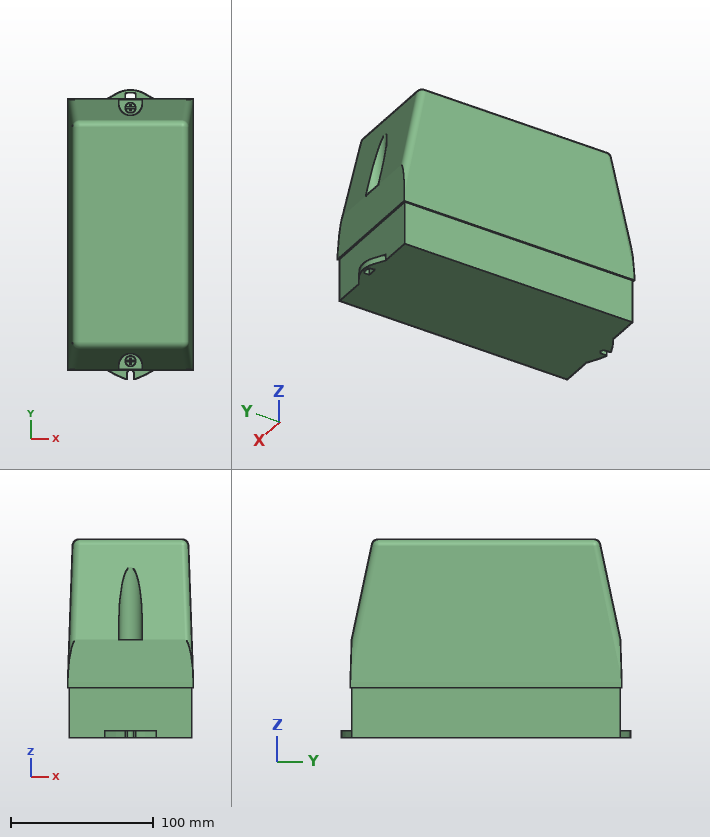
import cadquery as cq
import math

BASE_WIDTH = 86.0
BASE_LENGTH = 188.0
BASE_HEIGHT = 35.0

COVER_WIDTH = 88.0
COVER_LENGTH = 190.0
RIM_TOP = 39.0
END_BREAK_HEIGHT = 68.7
TOTAL_HEIGHT = 139.0
SIDE_DRAFT = math.radians(2.0)
END_DRAFT = math.radians(1.75)
END_SLOPE = math.radians(12.0)
COVER_FILLET = 5.0

RECESS_RADIUS = 8.25
RECESS_DEEPEST_Y = 83.3
RECESS_FLOOR = END_BREAK_HEIGHT

SCREW_Y = 88.55
SCREW_RADIUS = 3.6
SCREW_SINK = 0.5
DRIVE_DEPTH = 0.5
SLOT_WIDTH = 1.2
CROSS_WIDTH = 0.9
CROSS_LENGTH = 4.2

TAB_THICKNESS = 5.0
TAB_REACH = 101.18
TAB_FOOT_HALF_WIDTH = 17.9
TAB_SHOULDER_HALF_WIDTH = 10.0
TAB_SHOULDER_Y = 98.4
TAB_FLAT_HALF_WIDTH = 3.6
OPEN_SLOT_RADIUS = 2.3
OPEN_SLOT_CENTER_Y = 97.0
HOLE_WIDTH = 7.2
HOLE_TOP_Y = 99.1
HOLE_CORNER_RADIUS = 1.5

END_BREAK_Y = COVER_LENGTH / 2 - (END_BREAK_HEIGHT - RIM_TOP) * math.tan(END_DRAFT)


def end_slope_y(height):
    """Half length of the steep cover ends at a given height."""
    return END_BREAK_Y - (height - END_BREAK_HEIGHT) * math.tan(END_SLOPE)


def symmetric_prism(plane, half_outline, length):
    """Extrude an outline mirrored about the Z axis, centred along its normal."""
    mirrored = [(-across, height) for across, height in reversed(half_outline)]
    return cq.Workplane(plane).polyline(half_outline + mirrored).close().extrude(length / 2, both=True)


def make_base():
    return cq.Workplane("XY").box(BASE_WIDTH, BASE_LENGTH, BASE_HEIGHT, centered=(True, True, False))


def make_cover():
    top_half_width = COVER_WIDTH / 2 - (TOTAL_HEIGHT - RIM_TOP) * math.tan(SIDE_DRAFT)
    foot_half_length = end_slope_y(RIM_TOP)
    sides = symmetric_prism(
        "XZ", [(COVER_WIDTH / 2, RIM_TOP), (top_half_width, TOTAL_HEIGHT)], 2 * foot_half_length
    )
    steep_ends = symmetric_prism(
        "YZ", [(foot_half_length, RIM_TOP), (end_slope_y(TOTAL_HEIGHT), TOTAL_HEIGHT)], COVER_WIDTH
    )
    hood = sides.intersect(steep_ends)
    hood = hood.edges("not <Z").fillet(COVER_FILLET)

    lower_ends = symmetric_prism(
        "YZ",
        [
            (COVER_LENGTH / 2, RIM_TOP),
            (END_BREAK_Y, END_BREAK_HEIGHT),
            (END_BREAK_Y, TOTAL_HEIGHT),
        ],
        COVER_WIDTH,
    )
    rim = (
        cq.Workplane("XY")
        .workplane(offset=BASE_HEIGHT)
        .box(COVER_WIDTH, COVER_LENGTH, RIM_TOP - BASE_HEIGHT, centered=(True, True, False))
    )
    return hood.intersect(lower_ends).union(rim)


def make_recess(end):
    """Vertical round-backed recess, open toward the end face (end is +1 or -1)."""
    center_y = RECESS_DEEPEST_Y + RECESS_RADIUS
    depth = TOTAL_HEIGHT - RECESS_FLOOR
    floor = cq.Workplane("XY").workplane(offset=RECESS_FLOOR)
    back = floor.center(0, end * center_y).circle(RECESS_RADIUS).extrude(depth)
    mouth_length = COVER_LENGTH / 2 - center_y
    mouth_y = center_y + mouth_length / 2
    mouth = floor.center(0, end * mouth_y).rect(2 * RECESS_RADIUS, mouth_length).extrude(depth)
    return back.union(mouth)


def make_screw_pocket(end):
    """Shallow round pocket showing a screw head with a full-width slot and a shorter cross slot."""
    floor = cq.Workplane("XY").workplane(offset=RECESS_FLOOR).center(0, end * SCREW_Y)
    pocket = floor.circle(SCREW_RADIUS).extrude(-SCREW_SINK)
    head = floor.workplane(offset=-SCREW_SINK)
    slot = head.rect(2 * SCREW_RADIUS, SLOT_WIDTH).extrude(-DRIVE_DEPTH)
    slot = slot.intersect(head.circle(SCREW_RADIUS).extrude(-DRIVE_DEPTH))
    cross = head.rect(CROSS_WIDTH, CROSS_LENGTH).extrude(-DRIVE_DEPTH)
    return pocket.union(slot).union(cross)


def make_slotted_tab():
    """Tab on the -Y end: straight-sided outline with an open round-ended slot."""
    tab = (
        cq.Workplane("XY")
        .moveTo(-TAB_FOOT_HALF_WIDTH, -BASE_LENGTH / 2)
        .lineTo(-TAB_SHOULDER_HALF_WIDTH, -TAB_SHOULDER_Y)
        .lineTo(-TAB_FLAT_HALF_WIDTH, -TAB_REACH)
        .lineTo(TAB_FLAT_HALF_WIDTH, -TAB_REACH)
        .lineTo(TAB_SHOULDER_HALF_WIDTH, -TAB_SHOULDER_Y)
        .lineTo(TAB_FOOT_HALF_WIDTH, -BASE_LENGTH / 2)
        .close()
        .extrude(TAB_THICKNESS)
    )
    slot = (
        cq.Workplane("XY")
        .moveTo(-OPEN_SLOT_RADIUS, -TAB_REACH)
        .lineTo(-OPEN_SLOT_RADIUS, -OPEN_SLOT_CENTER_Y)
        .threePointArc((0, OPEN_SLOT_RADIUS - OPEN_SLOT_CENTER_Y), (OPEN_SLOT_RADIUS, -OPEN_SLOT_CENTER_Y))
        .lineTo(OPEN_SLOT_RADIUS, -TAB_REACH)
        .close()
        .extrude(TAB_THICKNESS)
    )
    return tab.cut(slot)


def make_holed_tab():
    """Tab on the +Y end: rounded outline with a hole that runs back to the base wall."""
    tab = (
        cq.Workplane("XY")
        .moveTo(-TAB_FOOT_HALF_WIDTH, BASE_LENGTH / 2)
        .lineTo(-TAB_SHOULDER_HALF_WIDTH, TAB_SHOULDER_Y)
        .threePointArc((0, TAB_REACH), (TAB_SHOULDER_HALF_WIDTH, TAB_SHOULDER_Y))
        .lineTo(TAB_FOOT_HALF_WIDTH, BASE_LENGTH / 2)
        .close()
        .extrude(TAB_THICKNESS)
    )
    hole_length = HOLE_TOP_Y - BASE_LENGTH / 2
    hole = (
        cq.Workplane("XY")
        .center(0, HOLE_TOP_Y - hole_length / 2)
        .rect(HOLE_WIDTH, hole_length)
        .extrude(TAB_THICKNESS)
        .edges("|Z and >Y")
        .fillet(HOLE_CORNER_RADIUS)
    )
    return tab.cut(hole)


cover = make_cover()
for end in (1, -1):
    cover = cover.cut(make_recess(end)).cut(make_screw_pocket(end))

result = make_base().union(make_slotted_tab()).union(make_holed_tab()).union(cover)